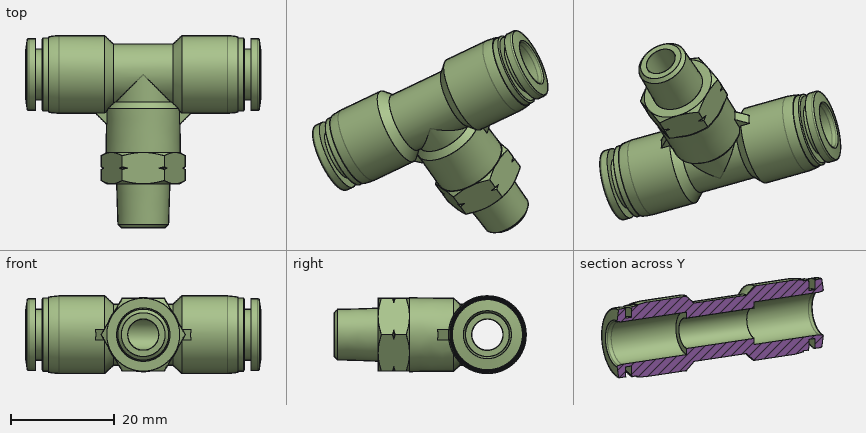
import cadquery as cq
import math


run_half_length = 22.65
waist_radius = 5.9
waist_half_length = 5.7
shoulder_x = 7.45
body_diameter = 15.0
body_radius = body_diameter / 2
nose_start_x = 16.15
nose_end_x = 18.2
nose_end_radius = 7.25

collar_radius = 7.05
collar_end_x = 19.5
collar_chamfer_length = 0.2
collar_chamfer_depth = 0.4

neck_radius = 4.95
flange_start_x = 20.7
flange_radius = 6.95
flange_round_length = 0.3
flange_round_depth = 0.2
flange_rim_x = 22.35

bore_radius = 3.0
socket_radius = 4.2
socket_mouth_radius = 4.6
socket_mouth_fillet = 0.25
socket_lead_in_length = 1.05
socket_depth = run_half_length - shoulder_x

branch_cone_start = 5.25
branch_cone_end = 6.52
branch_start_radius = 7.05
branch_end_radius = 7.15
hex_start = 15.0
hex_end = 21.0
hex_across_flats = 14.05
hex_chamfer_angle = 30
hex_groove_depth = 0.45
thread_end = 29.5
thread_root_diameter = 10.3
thread_root_radius = thread_root_diameter / 2
thread_taper = 1 / 32
thread_chamfer_length = 0.7
thread_tip_radius = 4.2

rib_thickness = 2.1
rib_corner_reach = 16.63


def revolve_about_x(outline):
    return outline.close().revolve(360, (0, 0, 0), (1, 0, 0))


def revolve_about_y(outline):
    return outline.close().revolve(360, (0, 0, 0), (0, 1, 0))


def make_run_arm():
    """Right half of the run, from the mid plane to the flange face."""
    outline = (
        cq.Workplane("XY")
        .lineTo(0, waist_radius)
        .lineTo(waist_half_length, waist_radius)
        .lineTo(shoulder_x, body_radius)
        .lineTo(nose_start_x, body_radius)
        .tangentArcPoint((nose_end_x, nose_end_radius), relative=False)
        .lineTo(nose_end_x, collar_radius)
        .lineTo(collar_end_x - collar_chamfer_length, collar_radius)
        .lineTo(collar_end_x, collar_radius - collar_chamfer_depth)
        .lineTo(collar_end_x, neck_radius)
        .lineTo(flange_start_x, neck_radius)
        .lineTo(flange_start_x, flange_radius)
        .lineTo(flange_rim_x - flange_round_length, flange_radius)
        .tangentArcPoint((flange_rim_x, flange_radius - flange_round_depth), relative=False)
        .lineTo(run_half_length, socket_mouth_radius)
        .lineTo(run_half_length, 0)
    )
    return revolve_about_x(outline)


def make_socket():
    """Tube socket cutter for the right end, with a tapered lead-in and a rounded mouth."""
    outline = (
        cq.Workplane("XY")
        .moveTo(run_half_length - socket_depth, 0)
        .lineTo(run_half_length - socket_depth, socket_radius)
        .lineTo(run_half_length - socket_lead_in_length, socket_radius)
        .lineTo(run_half_length - socket_mouth_fillet, socket_mouth_radius - socket_mouth_fillet)
        .tangentArcPoint((run_half_length, socket_mouth_radius), relative=False)
        .lineTo(run_half_length, 0)
    )
    return revolve_about_x(outline)


def make_branch_waist():
    """Branch root, mitred at 45 degrees where it meets the equal run waist."""
    cylinder = cq.Workplane("XZ").circle(waist_radius).extrude(branch_cone_start)
    wedge = (
        cq.Workplane("XY")
        .lineTo(branch_cone_start, -branch_cone_start)
        .lineTo(-branch_cone_start, -branch_cone_start)
        .close()
        .extrude(waist_radius, both=True)
    )
    return cylinder.intersect(wedge)


def make_branch():
    """Slightly tapered branch body, from its shoulder cone to the hexagon."""
    outline = (
        cq.Workplane("XY")
        .moveTo(0, -branch_cone_start)
        .lineTo(waist_radius, -branch_cone_start)
        .lineTo(branch_start_radius, -branch_cone_end)
        .lineTo(branch_end_radius, -hex_start)
        .lineTo(0, -hex_start)
    )
    return revolve_about_y(outline)


def make_hexagon():
    """Hexagon with chamfered corners and a V groove round its middle."""
    flat_radius = hex_across_flats / 2
    corner_radius = flat_radius / math.cos(math.radians(30))
    slope = math.tan(math.radians(hex_chamfer_angle))
    chamfer_length = (corner_radius - flat_radius) * slope
    groove_half_width = hex_groove_depth * slope
    middle = (hex_start + hex_end) / 2

    prism = (
        cq.Workplane("XZ", origin=(0, -hex_start, 0))
        .polygon(6, 2 * corner_radius)
        .extrude(hex_end - hex_start)
    )
    outline = (
        cq.Workplane("XY")
        .moveTo(0, -hex_start)
        .lineTo(flat_radius, -hex_start)
        .lineTo(corner_radius, -hex_start - chamfer_length)
        .lineTo(corner_radius, -middle + groove_half_width)
        .lineTo(corner_radius - hex_groove_depth, -middle)
        .lineTo(corner_radius, -middle - groove_half_width)
        .lineTo(corner_radius, -hex_end + chamfer_length)
        .lineTo(flat_radius, -hex_end)
        .lineTo(0, -hex_end)
    )
    return prism.intersect(revolve_about_y(outline))


def make_thread():
    """Plain taper in place of the pipe thread, chamfered at the tip."""
    chamfer_start = thread_end - thread_chamfer_length
    chamfer_radius = thread_root_radius - (chamfer_start - hex_end) * thread_taper
    outline = (
        cq.Workplane("XY")
        .moveTo(0, -hex_end)
        .lineTo(thread_root_radius, -hex_end)
        .lineTo(chamfer_radius, -chamfer_start)
        .lineTo(thread_tip_radius, -thread_end)
        .lineTo(0, -thread_end)
    )
    return revolve_about_y(outline)


def make_ribs():
    """Both corner ribs, as one plate with two 45 degree edges."""
    side_y = rib_corner_reach - nose_start_x
    branch_side = branch_start_radius
    return (
        cq.Workplane("XY")
        .moveTo(-nose_start_x, -side_y)
        .lineTo(-branch_side, branch_side - rib_corner_reach)
        .lineTo(branch_side, branch_side - rib_corner_reach)
        .lineTo(nose_start_x, -side_y)
        .close()
        .extrude(rib_thickness / 2, both=True)
    )


right_arm = make_run_arm()
body = right_arm.union(right_arm.mirror("YZ"))
for piece in (make_branch_waist(), make_branch(), make_hexagon(), make_thread(), make_ribs()):
    body = body.union(piece)

right_socket = make_socket()
run_bore = (
    cq.Workplane("YZ")
    .circle(bore_radius)
    .extrude(run_half_length, both=True)
)
branch_bore = cq.Workplane("XZ").circle(bore_radius).extrude(thread_end)

result = (
    body.cut(right_socket)
    .cut(right_socket.mirror("YZ"))
    .cut(run_bore)
    .cut(branch_bore)
)